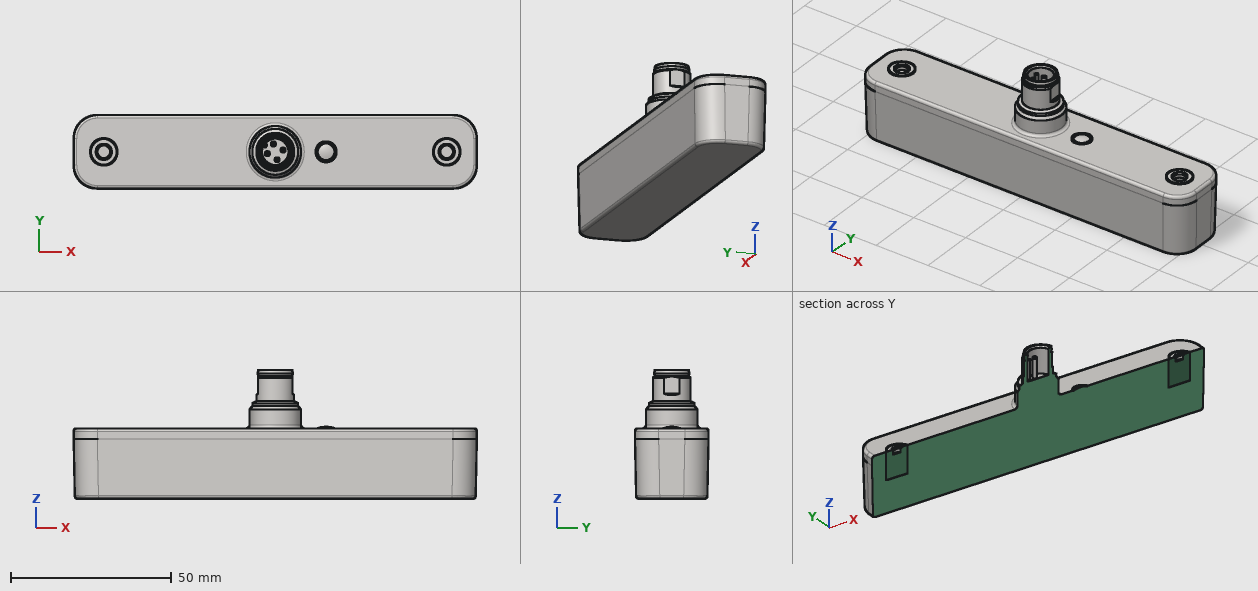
import cadquery as cq
import math

LENGTH = 126.0
WIDTH = 23.0
TOTAL_HEIGHT = 40.3
BLOCK_HEIGHT = 22.0
CORNER_RADIUS = 7.4
EDGE_ROUND = 1.0

DRAFT_HEIGHT = 18.8
DRAFT_INSET = 0.4

BASE_RADIUS = 8.1
BASE_FILLET = 1.0
BASE_TOP = 27.8
COLLAR_RADIUS = 7.2
COLLAR_BOTTOM = 29.0
COLLAR_TOP = 29.9
STEM_RADIUS = 5.9
STEM_BOTTOM = 30.5
STEM_TOP = 37.8
NECK_RADIUS = 5.3
NECK_BOTTOM = 38.3
RIM_RADIUS = 5.5
RIM_HEIGHT = 39.2
RIM_TOP_RADIUS = 5.3

FLAT_OFFSET = 5.4
FLAT_BOTTOM = 32.9

SOCKET_RADIUS = 4.2
SOCKET_FLOOR = 30.5
MOUTH_CHAMFER = 0.6
PIN_COUNT = 4
PIN_CIRCLE_RADIUS = 2.5
PIN_RADIUS = 0.8
PIN_CHAMFER = 0.4
PIN_TOP = 37.8
FIRST_PIN_ANGLE = 13.0
KEY_WIDTH = 1.0
KEY_INNER_RADIUS = 3.3
KEY_ANGLE = FIRST_PIN_ANGLE + 1.5 * 360 / PIN_COUNT

INDICATOR_X = 15.9
INDICATOR_RADIUS = 2.6
INDICATOR_RISE = 0.5
INDICATOR_RECESS_RADIUS = 3.3
INDICATOR_RECESS_DEPTH = 0.1

BUSHING_X = 53.5
BUSHING_RADIUS = 4.3
BUSHING_LENGTH = 10.1
BUSHING_CHAMFER = 0.3
BUSHING_HOLE_RADIUS = 2.0
BUSHING_HOLE_DEPTH = 1.8
BUSHING_HOLE_CHAMFER = 0.5


def level(height):
    """A horizontal work plane at the given height."""
    return cq.Workplane("XY").workplane(offset=height)


def revolve_about_z(profile):
    """Turn a closed profile, drawn in the XZ plane, fully around the Z axis."""
    return profile.revolve(360, (0, 0, 0), (0, 1, 0))


def make_block():
    draft_angle = math.degrees(math.atan(DRAFT_INSET / DRAFT_HEIGHT))
    lower = level(DRAFT_HEIGHT).rect(LENGTH, WIDTH).extrude(-DRAFT_HEIGHT, taper=draft_angle)
    lower = lower.edges("not(|X or |Y)").fillet(CORNER_RADIUS)
    lower = lower.faces("<Z").edges().fillet(EDGE_ROUND)

    upper = level(DRAFT_HEIGHT).rect(LENGTH, WIDTH).extrude(BLOCK_HEIGHT - DRAFT_HEIGHT)
    upper = upper.edges("|Z").fillet(CORNER_RADIUS)
    upper = upper.faces(">Z").edges().fillet(EDGE_ROUND)
    return lower.union(upper)


def make_connector_outside():
    profile = (
        cq.Workplane("XZ")
        .moveTo(0, BLOCK_HEIGHT)
        .lineTo(BASE_RADIUS + BASE_FILLET, BLOCK_HEIGHT)
        .radiusArc((BASE_RADIUS, BLOCK_HEIGHT + BASE_FILLET), BASE_FILLET)
        .lineTo(BASE_RADIUS, BASE_TOP)
        .lineTo(COLLAR_RADIUS, COLLAR_BOTTOM)
        .lineTo(COLLAR_RADIUS, COLLAR_TOP)
        .lineTo(STEM_RADIUS, STEM_BOTTOM)
        .lineTo(STEM_RADIUS, STEM_TOP)
        .lineTo(NECK_RADIUS, NECK_BOTTOM)
        .lineTo(RIM_RADIUS, RIM_HEIGHT)
        .lineTo(RIM_TOP_RADIUS, TOTAL_HEIGHT)
        .lineTo(0, TOTAL_HEIGHT)
        .close()
    )
    flat = make_flat_cut()
    return revolve_about_z(profile).cut(flat).cut(flat.mirror("YZ"))


def make_flat_cut():
    """Cut for the flat on the +X side; its ledge slopes down outward at 45 degrees."""
    reach = STEM_RADIUS - FLAT_OFFSET
    return (
        cq.Workplane("XZ")
        .moveTo(FLAT_OFFSET, FLAT_BOTTOM)
        .lineTo(FLAT_OFFSET + reach, FLAT_BOTTOM - reach)
        .lineTo(FLAT_OFFSET + reach, NECK_BOTTOM)
        .lineTo(FLAT_OFFSET, NECK_BOTTOM)
        .close()
        .extrude(STEM_RADIUS, both=True)
    )


def make_socket_space():
    """The empty space of the socket: its bore less the key and the contact pins."""
    profile = (
        cq.Workplane("XZ")
        .moveTo(0, SOCKET_FLOOR)
        .lineTo(SOCKET_RADIUS, SOCKET_FLOOR)
        .lineTo(SOCKET_RADIUS, TOTAL_HEIGHT - MOUTH_CHAMFER)
        .lineTo(SOCKET_RADIUS + MOUTH_CHAMFER, TOTAL_HEIGHT)
        .lineTo(0, TOTAL_HEIGHT)
        .close()
    )
    pin_height = PIN_TOP - SOCKET_FLOOR
    pins = (
        level(SOCKET_FLOOR)
        .polarArray(PIN_CIRCLE_RADIUS, FIRST_PIN_ANGLE, 360, PIN_COUNT)
        .circle(PIN_RADIUS)
        .extrude(pin_height)
        .faces(">Z")
        .edges()
        .chamfer(PIN_CHAMFER)
    )
    key = (
        level(SOCKET_FLOOR)
        .center((KEY_INNER_RADIUS + STEM_RADIUS) / 2, 0)
        .rect(STEM_RADIUS - KEY_INNER_RADIUS, KEY_WIDTH)
        .extrude(pin_height)
        .rotate((0, 0, 0), (0, 0, 1), KEY_ANGLE)
    )
    return revolve_about_z(profile).cut(pins).cut(key)


def make_indicator_recess():
    return (
        level(BLOCK_HEIGHT)
        .center(INDICATOR_X, 0)
        .circle(INDICATOR_RECESS_RADIUS)
        .extrude(-INDICATOR_RECESS_DEPTH)
    )


def make_indicator_dome():
    sphere_radius = (INDICATOR_RADIUS**2 + INDICATOR_RISE**2) / (2 * INDICATOR_RISE)
    foot = BLOCK_HEIGHT - INDICATOR_RECESS_DEPTH
    profile = (
        cq.Workplane("XZ")
        .moveTo(0, foot)
        .lineTo(INDICATOR_RADIUS, foot)
        .lineTo(INDICATOR_RADIUS, BLOCK_HEIGHT)
        .radiusArc((0, BLOCK_HEIGHT + INDICATOR_RISE), -sphere_radius)
        .close()
    )
    return revolve_about_z(profile).translate((INDICATOR_X, 0, 0))


def make_bushing_seat(x):
    return level(BLOCK_HEIGHT).center(x, 0).circle(BUSHING_RADIUS).extrude(-BUSHING_LENGTH)


def make_bushing(x):
    """A chamfered sleeve, flush with the block, with a shallow blind hole."""
    body = make_bushing_seat(x).faces(">Z").edges().chamfer(BUSHING_CHAMFER)
    hole = level(BLOCK_HEIGHT).center(x, 0).circle(BUSHING_HOLE_RADIUS).extrude(-BUSHING_HOLE_DEPTH)
    countersink = cq.Solid.makeCone(
        BUSHING_HOLE_RADIUS,
        BUSHING_HOLE_RADIUS + BUSHING_HOLE_CHAMFER,
        BUSHING_HOLE_CHAMFER,
        pnt=cq.Vector(x, 0, BLOCK_HEIGHT - BUSHING_HOLE_CHAMFER),
    )
    return body.cut(hole).cut(cq.Workplane(countersink))


def make_enclosure():
    enclosure = make_block().union(make_connector_outside())
    enclosure = enclosure.cut(make_socket_space())
    enclosure = enclosure.cut(make_indicator_recess()).union(make_indicator_dome())
    for x in bushing_places:
        enclosure = enclosure.cut(make_bushing_seat(x))
    return enclosure


bushing_places = (-BUSHING_X, BUSHING_X)
enclosure = make_enclosure()
bushings = [make_bushing(x) for x in bushing_places]
bushing_solids = [bushing.solids().val() for bushing in bushings]
result = cq.Compound.makeCompound([enclosure.solids().val(), *bushing_solids])